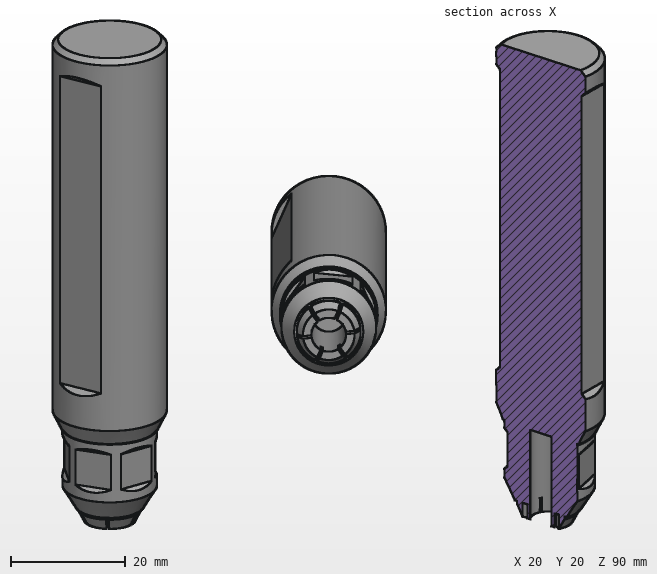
import cadquery as cq

TOTAL_LENGTH = 90.0
SHANK_DIAMETER = 20.0
SHANK_RADIUS = SHANK_DIAMETER / 2
TOP_CHAMFER = 1.0
SHANK_BOTTOM_Z = 20.5
TAPER_END_RADIUS = 8.55

SHANK_FLAT_DEPTH = 1.0
SHANK_FLAT_BOTTOM_Z = 27.5
SHANK_FLAT_TOP_Z = 85.05
SHANK_FLAT_ANGLES = (-90, 90)

NUT_RADIUS = 8.3
NUT_TOP_Z = 17.3
NUT_NOSE_TOP_Z = 6.5
NUT_NOSE_END_RADIUS = 6.0
WRENCH_FLAT_COUNT = 6
WRENCH_FLAT_DEPTH = 0.7
WRENCH_FLAT_BOTTOM_Z = 8.8
WRENCH_FLAT_TOP_Z = 15.4
WRENCH_FLAT_START_ANGLE = -78

GROOVE_DEPTH = 0.1
GROOVE_WIDTH = 0.3
GROOVE_RADIUS = NUT_RADIUS - GROOVE_DEPTH
GROOVE_TOP_Z = NUT_TOP_Z + GROOVE_WIDTH

COLLET_RADIUS = 5.6
COLLET_HEIGHT = 2.7
COLLET_CONE_HEIGHT = 2.2
COLLET_END_RADIUS = 4.5
BORE_DIAMETER = 6.0
BORE_DEPTH = NUT_TOP_Z
SLOT_COUNT = 6
SLOT_WIDTH = 0.45


def turned_body():
    """Revolve the whole outer profile, from the collet up to the shank."""
    profile = [
        (0, 0),
        (COLLET_END_RADIUS, 0),
        (COLLET_RADIUS, COLLET_CONE_HEIGHT),
        (COLLET_RADIUS, COLLET_HEIGHT),
        (NUT_NOSE_END_RADIUS, COLLET_HEIGHT),
        (NUT_RADIUS, NUT_NOSE_TOP_Z),
        (NUT_RADIUS, NUT_TOP_Z),
        (GROOVE_RADIUS, NUT_TOP_Z),
        (GROOVE_RADIUS, GROOVE_TOP_Z),
        (TAPER_END_RADIUS, GROOVE_TOP_Z),
        (SHANK_RADIUS, SHANK_BOTTOM_Z),
        (SHANK_RADIUS, TOTAL_LENGTH - TOP_CHAMFER),
        (SHANK_RADIUS - TOP_CHAMFER, TOTAL_LENGTH),
        (0, TOTAL_LENGTH),
    ]
    return cq.Workplane("XZ").polyline(profile).close().revolve(360, (0, 0, 0), (0, 1, 0))


def turn_about_axis(shape, angle):
    """Turn a shape about the Z axis by an angle in degrees."""
    return shape.rotate((0, 0, 0), (0, 0, 1), angle)


def flat_cutter(radius, depth, bottom_z, top_z, angle):
    """Cutter for a flat on a cylinder, facing the given angle, with 45 degree ends."""
    floor = radius - depth
    outer = radius + depth
    run_out = outer - floor
    outline = [
        (floor, bottom_z),
        (outer, bottom_z - run_out),
        (outer, top_z + run_out),
        (floor, top_z),
    ]
    cutter = cq.Workplane("XZ").polyline(outline).close().extrude(radius, both=True)
    return turn_about_axis(cutter, angle)


def slot_cutter(angle):
    """Cutter for one radial slot, from the axis out through the collet head."""
    slot = cq.Workplane("XY").box(
        NUT_RADIUS, SLOT_WIDTH, COLLET_HEIGHT, centered=(False, True, False)
    )
    return turn_about_axis(slot, angle)


result = turned_body()

for angle in SHANK_FLAT_ANGLES:
    result = result.cut(
        flat_cutter(SHANK_RADIUS, SHANK_FLAT_DEPTH, SHANK_FLAT_BOTTOM_Z, SHANK_FLAT_TOP_Z, angle)
    )

for i in range(WRENCH_FLAT_COUNT):
    angle = WRENCH_FLAT_START_ANGLE + i * 360 / WRENCH_FLAT_COUNT
    result = result.cut(
        flat_cutter(NUT_RADIUS, WRENCH_FLAT_DEPTH, WRENCH_FLAT_BOTTOM_Z, WRENCH_FLAT_TOP_Z, angle)
    )

bore = cq.Workplane("XY").circle(BORE_DIAMETER / 2).extrude(BORE_DEPTH)
result = result.cut(bore)

for i in range(SLOT_COUNT):
    result = result.cut(slot_cutter(i * 360 / SLOT_COUNT))